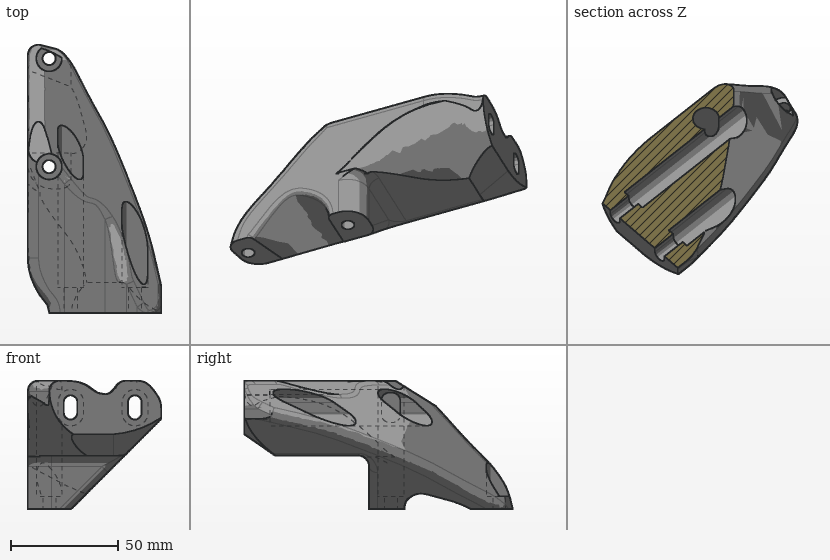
import cadquery as cq
import math

WIDTH = 62.37
HEIGHT = 60.0
FOOT_WIDTH = 20.2
EDGE_RADIUS = 5.0
CUT_LENGTH = 130.0
CLEARANCE = 5.0

BACK_CURVE = [(-20, 131), (0, 126.4), (15, 122.8), (37, 105.7), (57, 87.2),
              (80, 60.5), (97.5, 36), (108, 14.5), (115, 0)]

LOW_HUMP_END = (17, HEIGHT)
LOW_HUMP_SIDE = (28, 57.6)
VALLEY = (36, 53.7)
HIGH_HUMP_SIDE = (41.2, 57.5)
HIGH_HUMP_START = (46, HEIGHT)
HIGH_HUMP_END = (51, HEIGHT)
OUTER_SHOULDER = (59, 55.3)
OUTER_SIDE = (WIDTH, 47)

SHOULDER_CURVE = [(0, 26), (2, 15.5), (7.5, 6), (10, 0)]

BEVEL_LOWER = (93, 45.9)
BEVEL_UPPER = (70.5, HEIGHT)

UNDERSIDE_HEIGHT = 25.0
LEG_FRONT = 58.2
LEG_CORNER_RADIUS = 11.0
LEG_FILLET = 5.0
LEG_EDGE_RADIUS = 4.0

NOSE_HEIGHT = 35.0
NOSE_LENGTH = 14.4
NOSE_FLAT_END = 40.0
NOSE_RISE = (52.5, 37.7)
NOSE_TIP = (63, 43.2)
BELLY_RISE = (52.5, 25.5)
BELLY_TIP = (63, 26.3)

BLEND_SECTIONS = [
    (0, (10.1, 56), (13.5, 43), (22, 34.5)),
    (14.4, (2.2, 53), (14, 35), (28.5, 24.5)),
    (30, (0.15, 51), (8, 34), (24, 24.5)),
    (46, (0.15, 44.5), (3.5, 31), (12, 24.5)),
    (58, (0.15, 35), (1.6, 28.5), (5, 24.5)),
    (70, (-0.5, 25), (-0.3, 24.8), (0, 24.5)),
]

SIDE_ARCH = [(115, -1), (100.7, 16), (92, 20.7), (86, 18.3), (79, 12), (75, -1)]
SLOPE_ARCH = [(107, -1), (97, 5.2), (89, 8.2), (81, 10), (76.5, 6.5), (75, -1)]
ARCH_OVERSHOOT = 0.1
ARCH_EDGE_RADIUS = 3.0

FOOT_BOLTS = [(10.0, 68.4), (10.0, 118.9)]
FOOT_BOLT_DIAMETER = 6.0
FOOT_SEAT_DIAMETER = 12.0
FOOT_SEAT_HEIGHT = 6.0

SLOT_CENTERS = [(20.0, 47.5), (50.0, 47.5)]
SLOT_WIDTH = 6.2
SLOT_HEIGHT = 11.2
SLOT_SEAT_WIDTH = 12.0
SLOT_SEAT_HEIGHT = SLOT_HEIGHT + SLOT_SEAT_WIDTH - SLOT_WIDTH
SLOT_SEAT_DEPTH = 12.0

SIDE_TOP_EDGE = (0, 55, HEIGHT)
SIDE_BACK_EDGE = (0, 108, 30)
UNDERSIDE_BACK_EDGE = (42, 72, 22)
TOP_BACK_EDGE = (10, 76, HEIGHT)
BELLY_LEG_EDGE = (40, LEG_FRONT, UNDERSIDE_HEIGHT)
LEG_FRONT_EDGE = (FOOT_WIDTH + 10, LEG_FRONT, 10)
SIDE_ARCH_EDGE = (0, 92, 20)

LEVEL = (1, 0)
DOWN = (0, -1)


def round_edges(body, points, radius):
    """Round the edges nearest to the given points."""
    edges = [body.edges(cq.selectors.NearestToPointSelector(p)).val() for p in points]
    return body.newObject(edges).fillet(radius)


def extrude_back(outline, start):
    """Extrude an XZ outline towards +Y, beginning at Y = start."""
    return outline.extrude(-CUT_LENGTH).translate((0, start, 0))


def loft(wires, ruled):
    return cq.Workplane(cq.Solid.makeLoft(wires, ruled))


def slab():
    """Body above the 45 degree underside, with the curved back edge."""
    plane = cq.Plane(origin=(FOOT_WIDTH, 0, 0), xDir=(1, 0, 1), normal=(-1, 0, 1))
    points = [((total - FOOT_WIDTH) / math.sqrt(2), y) for total, y in BACK_CURVE]
    return (
        cq.Workplane(plane)
        .moveTo(points[0][0], 0)
        .lineTo(*points[0])
        .spline(points[1:], includeCurrent=True)
        .close()
        .extrude(CUT_LENGTH)
    )


def front_envelope():
    level_ends = [LEVEL, LEVEL]
    outline = (
        cq.Workplane("XZ")
        .lineTo(0, HEIGHT)
        .lineTo(*LOW_HUMP_END)
        .spline([LOW_HUMP_SIDE, VALLEY], tangents=level_ends, includeCurrent=True)
        .spline([HIGH_HUMP_SIDE, HIGH_HUMP_START], tangents=level_ends, includeCurrent=True)
        .lineTo(*HIGH_HUMP_END)
        .spline([OUTER_SHOULDER, OUTER_SIDE], tangents=[LEVEL, DOWN], includeCurrent=True)
        .lineTo(WIDTH, 0)
        .close()
    )
    return extrude_back(outline, 0)


def shoulder_cut():
    start = SHOULDER_CURVE[0]
    end = SHOULDER_CURVE[-1]
    return (
        cq.Workplane("XY")
        .moveTo(-CLEARANCE, start[1])
        .lineTo(*start)
        .spline(SHOULDER_CURVE[1:], tangents=[DOWN, DOWN], includeCurrent=True)
        .lineTo(end[0], -CLEARANCE)
        .lineTo(-CLEARANCE, -CLEARANCE)
        .close()
        .extrude(HEIGHT)
    )


def bevel_cut():
    corner = (BEVEL_LOWER[0], HEIGHT)
    return cq.Workplane("YZ").polyline([BEVEL_LOWER, BEVEL_UPPER, corner]).close().extrude(WIDTH)


def belly_cut():
    """Clear the space under the arm, leaving a leg with one rounded corner."""
    corner_end = LEG_FRONT + LEG_CORNER_RADIUS
    cutter = (
        cq.Workplane("XY")
        .moveTo(-CLEARANCE, -CLEARANCE)
        .lineTo(WIDTH + CLEARANCE, -CLEARANCE)
        .lineTo(WIDTH + CLEARANCE, LEG_FRONT)
        .lineTo(LEG_CORNER_RADIUS, LEG_FRONT)
        .radiusArc((0, corner_end), LEG_CORNER_RADIUS)
        .lineTo(-CLEARANCE, corner_end)
        .close()
        .extrude(UNDERSIDE_HEIGHT)
    )
    return round_edges(cutter, [BELLY_LEG_EDGE], LEG_FILLET)


def nose_section(y, flat_height, rise, tip):
    return (
        cq.Workplane("XZ", origin=(0, y, 0))
        .moveTo(-CLEARANCE, flat_height)
        .lineTo(NOSE_FLAT_END, flat_height)
        .threePointArc(rise, tip)
        .lineTo(tip[0], 0)
        .lineTo(-CLEARANCE, 0)
        .close()
        .val()
    )


def nose_cut():
    front = nose_section(0, NOSE_HEIGHT, NOSE_RISE, NOSE_TIP)
    back = nose_section(NOSE_LENGTH, UNDERSIDE_HEIGHT, BELLY_RISE, BELLY_TIP)
    return loft([front, back], ruled=True)


def blend_section(y, upper, middle, lower):
    return (
        cq.Workplane("XZ", origin=(0, y, 0))
        .moveTo(*upper)
        .spline([middle, lower], includeCurrent=True)
        .lineTo(-CLEARANCE, lower[1])
        .lineTo(-CLEARANCE, upper[1])
        .close()
        .val()
    )


def blend_cut():
    return loft([blend_section(*section) for section in BLEND_SECTIONS], ruled=False)


def arch_cut():
    slope_origin = (FOOT_WIDTH + ARCH_OVERSHOOT, 0, 0)
    slope_plane = cq.Plane(origin=slope_origin, xDir=(0, 1, 0), normal=(1, 0, -1))
    side = cq.Workplane("YZ").spline(SIDE_ARCH).close()
    slope = cq.Workplane(slope_plane).spline(SLOPE_ARCH).close()
    return loft([side.val(), slope.val()], ruled=True)


def foot_bolt_cut():
    holes = (
        cq.Workplane("XY")
        .pushPoints(FOOT_BOLTS)
        .circle(FOOT_BOLT_DIAMETER / 2)
        .extrude(HEIGHT)
    )
    seats = (
        cq.Workplane("XY", origin=(0, 0, FOOT_SEAT_HEIGHT))
        .pushPoints(FOOT_BOLTS)
        .circle(FOOT_SEAT_DIAMETER / 2)
        .extrude(HEIGHT)
    )
    return holes.union(seats)


def upright_slots(height, width, start):
    outline = cq.Workplane("XZ").pushPoints(SLOT_CENTERS).slot2D(height, width, 90)
    return extrude_back(outline, start)


def slot_cut():
    slots = upright_slots(SLOT_HEIGHT, SLOT_WIDTH, 0)
    seats = upright_slots(SLOT_SEAT_HEIGHT, SLOT_SEAT_WIDTH, SLOT_SEAT_DEPTH)
    return slots.union(seats)


arm_edges = [SIDE_TOP_EDGE, SIDE_BACK_EDGE, UNDERSIDE_BACK_EDGE, TOP_BACK_EDGE]
arm = slab().intersect(front_envelope()).cut(shoulder_cut())
arm = round_edges(arm, arm_edges, EDGE_RADIUS)

legged = round_edges(arm.cut(belly_cut()), [LEG_FRONT_EDGE], LEG_EDGE_RADIUS)
arched = round_edges(legged.cut(arch_cut()), [SIDE_ARCH_EDGE], ARCH_EDGE_RADIUS)

result = (
    arched.cut(bevel_cut())
    .cut(nose_cut())
    .cut(blend_cut())
    .cut(foot_bolt_cut())
    .cut(slot_cut())
)